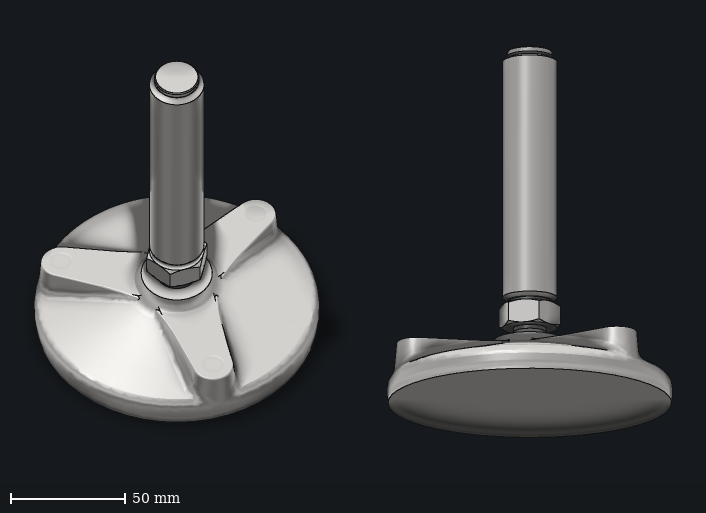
import cadquery as cq
import math

disc_radius = 62.5
pad_radius = 62.0
pad_height = 1.1
rim_start = 3.2
rim_corner_height = 10.6
rim_fillet = 5.0
cone_angle = 16
cone_slope = math.tan(math.radians(cone_angle))

hub_blend_radius = 23.3
hub_top_radius = 15.5
hub_height = 28.2

collar_radius = 21.3
collar_top_radius = 17.6
collar_height = 25.2

rib_count = 3
first_rib_angle = 90
rib_height = 23.8
rib_floor = 4.8
rib_end_distance = 51.7
rib_end_radius = 8.9
rib_side_angle = 5.7
rib_tail_distance = -79.3
rib_draft = 5
rib_top_fillet = 1.0
rib_base_fillet = 5.0
rib_blank_height = 34.9

mark_outer_diameter = 10.6
mark_inner_diameter = 8.9
mark_depth = 0.2

neck_radius = 7.1
neck_start = 31.9
ball_radius = 8.9
nut_bottom = 33.6
nut_top = 44.0
nut_width = 24.0
nut_chamfer_angle = 30
relief_radius = 18.2 / 2
stud_radius = 24.0 / 2
stud_start = 45.9
stud_start_radius = 19.5 / 2
stud_start_chamfer = 1.6
stud_end = 155.4
stud_end_chamfer = 1.5
tip_radius = 19.5 / 2
tip_start = 156.3
tip_chamfer = 0.5
total_height = 158.7

margin = 0.2


def cone_height(radius):
    return rim_corner_height + (disc_radius - radius) * cone_slope


def turned(shape, angle):
    return shape.rotate((0, 0, 0), (0, 0, 1), angle)


def rib_edges(start, bottom, top):
    """Edges beside the X axis that lie wholly beyond a start position and between two heights."""
    half_width = 2.5 * rib_end_radius
    return cq.selectors.BoxSelector(
        (start, -half_width, bottom), (disc_radius + margin, half_width, top), boundingbox=True)


def foot_disc():
    disc = (
        cq.Workplane("XZ")
        .lineTo(pad_radius, 0)
        .lineTo(pad_radius, pad_height)
        .lineTo(disc_radius, rim_start)
        .lineTo(disc_radius, rim_corner_height)
        .lineTo(0, cone_height(0))
        .close()
        .revolve()
    )
    return disc.edges(cq.selectors.RadiusNthSelector(1)).fillet(rim_fillet)


def rib_blank():
    """Drafted rib along +X, taller than needed so that its base fillet has a full wall to run up.

    Its tail runs right across the disc, so no fillet has to end near the hub.
    """
    side = math.radians(rib_side_angle)
    end_radius = rib_end_radius - (rib_blank_height - rib_height) * math.tan(math.radians(rib_draft))
    tangent_x = rib_end_distance + end_radius * math.sin(side)
    tangent_y = end_radius * math.cos(side)
    tail_y = tangent_y + (tangent_x - rib_tail_distance) * math.tan(side)
    return (
        cq.Workplane("XY")
        .workplane(offset=rib_blank_height)
        .moveTo(rib_tail_distance, -tail_y)
        .lineTo(tangent_x, -tangent_y)
        .threePointArc((rib_end_distance + end_radius, 0), (tangent_x, tangent_y))
        .lineTo(rib_tail_distance, tail_y)
        .close()
        .extrude(-(rib_blank_height - rib_floor), taper=-rib_draft)
    )


def hub():
    """Round hub whose concave side leaves the cone of the disc tangentially."""
    blend_height = cone_height(hub_blend_radius)
    run = hub_blend_radius - hub_top_radius
    rise = hub_height - blend_height
    half_turn = math.atan2(rise, run) - math.radians(cone_angle)
    blend_arc = math.hypot(run, rise) / (2 * math.sin(half_turn))
    return (
        cq.Workplane("XZ")
        .moveTo(0, rib_floor)
        .lineTo(hub_blend_radius, rib_floor)
        .lineTo(hub_blend_radius, blend_height)
        .radiusArc((hub_top_radius, hub_height), blend_arc)
        .lineTo(0, hub_height)
        .close()
        .revolve()
    )


def sector_wedge():
    """Share of the space around the Z axis that belongs to the rib along +X."""
    half_angle = math.pi / rib_count
    reach = 2 * disc_radius
    edge_x = reach * math.cos(half_angle)
    edge_y = reach * math.sin(half_angle)
    return (
        cq.Workplane("XY")
        .polyline([(0, 0), (edge_x, -edge_y), (reach, 0), (edge_x, edge_y)])
        .close()
        .extrude(hub_height + margin)
    )


def rib_collar():
    """Concave blend between the top of the rib along +X and the hub."""
    ring = (
        cq.Workplane("XZ")
        .moveTo(hub_top_radius, rib_height - margin)
        .lineTo(collar_radius, rib_height - margin)
        .lineTo(collar_radius, rib_height)
        .lineTo(collar_radius - margin, rib_height)
        .tangentArcPoint((collar_top_radius, collar_height), relative=False)
        .lineTo(hub_top_radius, collar_height)
        .close()
        .revolve()
    )
    return ring.intersect(rib_blank()).intersect(sector_wedge())


def fixing_mark():
    return (
        cq.Workplane("XY", origin=(rib_end_distance, 0, rib_height))
        .circle(mark_outer_diameter / 2)
        .workplane(offset=-mark_depth)
        .circle(mark_inner_diameter / 2)
        .loft()
    )


def ribbed_sector():
    """The rib along +X with its share of the disc and hub."""
    foot = foot_disc().union(rib_blank())
    base_edges = rib_edges(rim_fillet - disc_radius, rib_floor + margin, rib_blank_height - margin)
    foot = foot.edges(base_edges).fillet(rib_base_fillet)
    foot = foot.intersect(cq.Workplane("XY").circle(disc_radius + margin).extrude(rib_height))
    top_edges = rib_edges(0, rib_height - margin, rib_height + margin)
    foot = foot.edges(top_edges).fillet(rib_top_fillet)
    foot = foot.union(hub()).union(rib_collar())
    return foot.intersect(sector_wedge()).cut(fixing_mark())


def spindle():
    return (
        cq.Workplane("XZ")
        .moveTo(0, hub_height - margin)
        .lineTo(ball_radius, hub_height - margin)
        .lineTo(ball_radius, hub_height)
        .lineTo(neck_radius, neck_start)
        .lineTo(neck_radius, nut_bottom)
        .lineTo(relief_radius, nut_bottom)
        .lineTo(relief_radius, stud_start)
        .lineTo(stud_start_radius, stud_start)
        .lineTo(stud_radius, stud_start + stud_start_chamfer)
        .lineTo(stud_radius, stud_end - stud_end_chamfer)
        .lineTo(relief_radius, stud_end)
        .lineTo(tip_radius, tip_start)
        .lineTo(tip_radius, total_height - tip_chamfer)
        .lineTo(tip_radius - tip_chamfer, total_height)
        .lineTo(0, total_height)
        .close()
        .revolve()
    )


def nut():
    """Hexagon with corners on the X axis, its corners bevelled by a cone at both ends."""
    corner_radius = nut_width / math.sqrt(3)
    bevel_height = (corner_radius - nut_width / 2) * math.tan(math.radians(nut_chamfer_angle))
    hexagon = (
        cq.Workplane("XY")
        .workplane(offset=nut_bottom)
        .polygon(6, 2 * corner_radius)
        .extrude(nut_top - nut_bottom)
    )
    bevelled_round = (
        cq.Workplane("XZ")
        .moveTo(0, nut_bottom)
        .lineTo(nut_width / 2, nut_bottom)
        .lineTo(corner_radius, nut_bottom + bevel_height)
        .lineTo(corner_radius, nut_top - bevel_height)
        .lineTo(nut_width / 2, nut_top)
        .lineTo(0, nut_top)
        .close()
        .revolve()
    )
    return hexagon.intersect(bevelled_round)


sector = ribbed_sector()
foot = turned(sector, first_rib_angle)
for i in range(1, rib_count):
    foot = foot.union(turned(sector, first_rib_angle + i * 360 / rib_count))

result = foot.union(spindle().union(nut()))